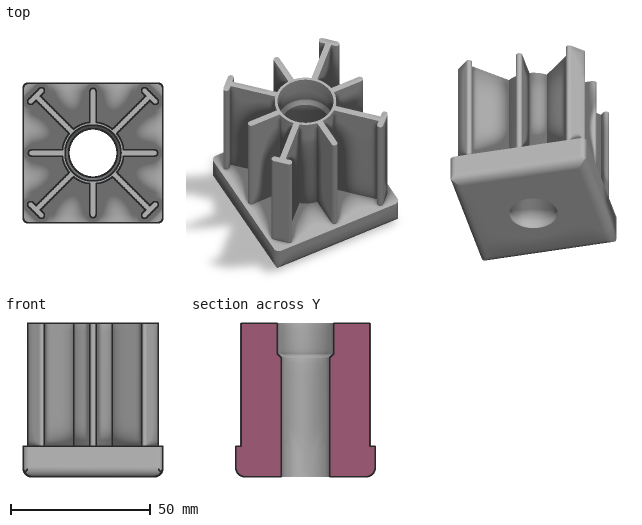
import cadquery as cq
import math

cap_width = 50.0
cap_height = 11.0
cap_corner_radius = 2.0
bottom_edge_radius = 3.3

overall_height = 55.0
tube_outer_diameter = 22.0
upper_bore_diameter = 20.0
lower_bore_diameter = 17.25
upper_bore_depth = 11.0

rib_thickness = 2.2
rib_count = 4
straight_rib_reach = 23.1
bar_length = 7.6
bar_center_distance = 28.75

rib_height = overall_height - cap_height
lower_bore_radius = lower_bore_diameter / 2
upper_bore_radius = upper_bore_diameter / 2
ledge_top = overall_height - upper_bore_depth
ledge_bottom = ledge_top - (upper_bore_radius - lower_bore_radius)


def rounded_bottom_prism(plane):
    """Bar centred on the axis normal to the plane, with two rounded lower edges."""
    half_width = cap_width / 2
    flat_half_width = half_width - bottom_edge_radius
    arc_mid = bottom_edge_radius * math.sqrt(0.5)
    return (
        cq.Workplane(plane)
        .moveTo(-half_width, cap_height)
        .lineTo(-half_width, bottom_edge_radius)
        .threePointArc(
            (-flat_half_width - arc_mid, bottom_edge_radius - arc_mid),
            (-flat_half_width, 0),
        )
        .lineTo(flat_half_width, 0)
        .threePointArc(
            (flat_half_width + arc_mid, bottom_edge_radius - arc_mid),
            (half_width, bottom_edge_radius),
        )
        .lineTo(half_width, cap_height)
        .close()
        .extrude(cap_width / 2, both=True)
    )


def make_cap():
    """Square block with rounded corners and mitred rounds along the bottom."""
    block = (
        cq.Workplane("XY")
        .rect(cap_width, cap_width)
        .extrude(cap_height)
        .edges("|Z")
        .fillet(cap_corner_radius)
    )
    return block.intersect(rounded_bottom_prism("XZ")).intersect(rounded_bottom_prism("YZ"))


def make_straight_rib():
    """Radial rib along +X with a round tip."""
    return (
        cq.Workplane("XY", origin=(0, 0, cap_height))
        .center(straight_rib_reach / 2, 0)
        .slot2D(straight_rib_reach, rib_thickness)
        .extrude(rib_height)
    )


def make_diagonal_rib():
    """Radial rib along +X ending in a cross bar with round ends."""
    base = cq.Workplane("XY", origin=(0, 0, cap_height))
    web = (
        base.center(bar_center_distance / 2, 0)
        .rect(bar_center_distance, rib_thickness)
        .extrude(rib_height)
    )
    bar = (
        cq.Workplane("XY", origin=(bar_center_distance, 0, cap_height))
        .slot2D(bar_length, rib_thickness, 90)
        .extrude(rib_height)
    )
    return web.union(bar)


def make_bore():
    """Through bore with a wider upper part and a conical ledge between the two."""
    return (
        cq.Workplane("XZ")
        .polyline([
            (0, 0),
            (lower_bore_radius, 0),
            (lower_bore_radius, ledge_bottom),
            (upper_bore_radius, ledge_top),
            (upper_bore_radius, overall_height),
            (0, overall_height),
        ])
        .close()
        .revolve(360, (0, 0, 0), (0, 1, 0))
    )


tube = (
    cq.Workplane("XY", origin=(0, 0, cap_height))
    .circle(tube_outer_diameter / 2)
    .extrude(rib_height)
)
body = make_cap().union(tube)

rib_spacing = 360 / rib_count
for index in range(rib_count):
    straight_angle = index * rib_spacing
    diagonal_angle = straight_angle + rib_spacing / 2
    body = body.union(make_straight_rib().rotate((0, 0, 0), (0, 0, 1), straight_angle))
    body = body.union(make_diagonal_rib().rotate((0, 0, 0), (0, 0, 1), diagonal_angle))

result = body.cut(make_bore())